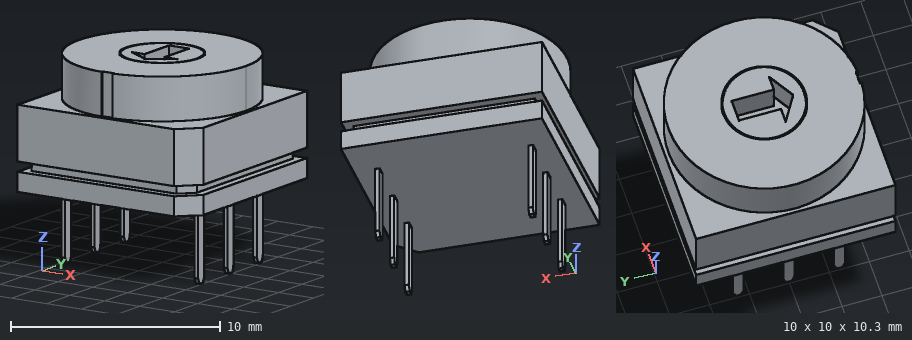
import cadquery as cq
import math


housing_side = 10.0
corner_chamfer = 1.0
base_height = 1.0
groove_height = 0.5
groove_depth = 0.5
body_height = 2.8

dial_diameter = 9.6
dial_height = 2.2
notch_width = 0.63
notch_depth = 0.1

rotor_diameter = 4.0
ring_outer_diameter = 4.1
ring_depth = 0.2

arrow_half_length = 1.45
arrow_shoulder_y = -0.66
arrow_shaft_width = 1.14
arrow_head_width = 2.62
arrow_depth = 1.5

pin_pitch = 2.54
pin_row_spacing = 3 * pin_pitch
pins_per_row = 3
pin_thickness = 0.22
pin_width = 0.55
pin_length = 3.8
pin_tip_width = 0.3
pin_tip_height = 0.3

body_bottom_z = base_height + groove_height
dial_bottom_z = body_bottom_z + body_height
dial_top_z = dial_bottom_z + dial_height


def make_layer(bottom_z, height, inset=0.0):
    """Square slab with the +X -Y corner chamfered, all its sides moved inward by the inset."""
    slab_side = housing_side - 2 * inset
    chamfer_leg = corner_chamfer - inset * (2 - math.sqrt(2))
    return (
        cq.Workplane("XY", origin=(0, 0, bottom_z))
        .rect(slab_side, slab_side)
        .extrude(height)
        .edges("|Z and >(1, -1, 0)")
        .chamfer(chamfer_leg)
    )


def make_housing():
    """Base plate and body with a recessed neck between them."""
    base = make_layer(0, base_height)
    neck = make_layer(base_height, groove_height, groove_depth)
    body = make_layer(body_bottom_z, body_height)
    return base.union(neck).union(body)


def make_dial():
    """Round dial with a shallow index notch down its -Y side."""
    dial = cq.Workplane("XY").circle(dial_diameter / 2).extrude(dial_height)
    notch = (
        cq.Workplane("XY")
        .center(0, -dial_diameter / 2)
        .rect(notch_width, 2 * notch_depth)
        .extrude(dial_height)
    )
    return dial.cut(notch).translate((0, 0, dial_bottom_z))


def make_ring_gap():
    """Narrow ring cut around the rotor."""
    return (
        cq.Workplane("XY", origin=(0, 0, dial_top_z))
        .circle(ring_outer_diameter / 2)
        .circle(rotor_diameter / 2)
        .extrude(-ring_depth)
    )


def make_arrow_slot():
    """Blind arrow-shaped screwdriver slot."""
    shaft_x = arrow_shaft_width / 2
    head_x = arrow_head_width / 2
    outline = [
        (-shaft_x, arrow_half_length),
        (shaft_x, arrow_half_length),
        (shaft_x, arrow_shoulder_y),
        (head_x, arrow_shoulder_y),
        (0, -arrow_half_length),
        (-head_x, arrow_shoulder_y),
        (-shaft_x, arrow_shoulder_y),
    ]
    return cq.Workplane("XY", origin=(0, 0, dial_top_z)).polyline(outline).close().extrude(-arrow_depth)


def make_pin(x, y):
    """Flat pin hanging from the underside, its lower end tapered in width."""
    side = pin_width / 2
    tip = pin_tip_width / 2
    taper_z = pin_tip_height - pin_length
    outline = [
        (-side, 0),
        (side, 0),
        (side, taper_z),
        (tip, -pin_length),
        (-tip, -pin_length),
        (-side, taper_z),
    ]
    blade = cq.Workplane("YZ").polyline(outline).close().extrude(pin_thickness / 2, both=True)
    return blade.translate((x, y, 0))


result = make_housing().union(make_dial())
result = result.cut(make_ring_gap()).cut(make_arrow_slot())

for row_x in (-pin_row_spacing / 2, pin_row_spacing / 2):
    for index in range(pins_per_row):
        pin_y = (index - (pins_per_row - 1) / 2) * pin_pitch
        result = result.union(make_pin(row_x, pin_y))